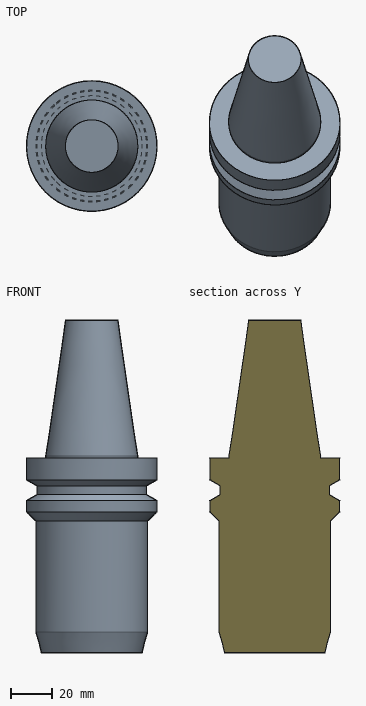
import cadquery as cq
import math


gauge_diameter = 44.45
taper_ratio = 7 / 24
taper_length = 65.4
small_end_diameter = gauge_diameter - taper_ratio * taper_length

flange_diameter = 63.0
flange_top = -1.0
lower_rim_bottom = -27.0
groove_diameter = 53.0
groove_center = -16.6
groove_mouth_width = 10.0
groove_flank_angle = 30.0
groove_depth = (flange_diameter - groove_diameter) / 2
groove_flank_height = groove_depth * math.tan(math.radians(groove_flank_angle))
upper_rim_bottom = groove_center + groove_mouth_width / 2
lower_rim_top = groove_center - groove_mouth_width / 2
groove_floor_top = upper_rim_bottom - groove_flank_height
groove_floor_bottom = lower_rim_top + groove_flank_height

body_diameter = 54.0
body_top = lower_rim_bottom - (flange_diameter - body_diameter) / 2
nose_bottom = -95.0
nose_height = 10.0
nose_half_angle = 15.0
nose_top = nose_bottom + nose_height
nose_diameter = body_diameter - 2 * nose_height * math.tan(math.radians(nose_half_angle))

profile_corners = [
    (small_end_diameter, taper_length),
    (gauge_diameter, 0),
    (gauge_diameter, flange_top),
    (flange_diameter, flange_top),
    (flange_diameter, upper_rim_bottom),
    (groove_diameter, groove_floor_top),
    (groove_diameter, groove_floor_bottom),
    (flange_diameter, lower_rim_top),
    (flange_diameter, lower_rim_bottom),
    (body_diameter, body_top),
    (body_diameter, nose_top),
    (nose_diameter, nose_bottom),
]


def revolve_about_z(corners):
    """Solid of revolution bounded by the corners and the Z axis."""
    first_height = corners[0][1]
    last_height = corners[-1][1]
    half_profile = [(0, first_height)]
    half_profile += [(diameter / 2, height) for diameter, height in corners]
    half_profile.append((0, last_height))
    return cq.Workplane("YZ").polyline(half_profile).close().revolve(360, (0, 0), (0, 1))


result = revolve_about_z(profile_corners)